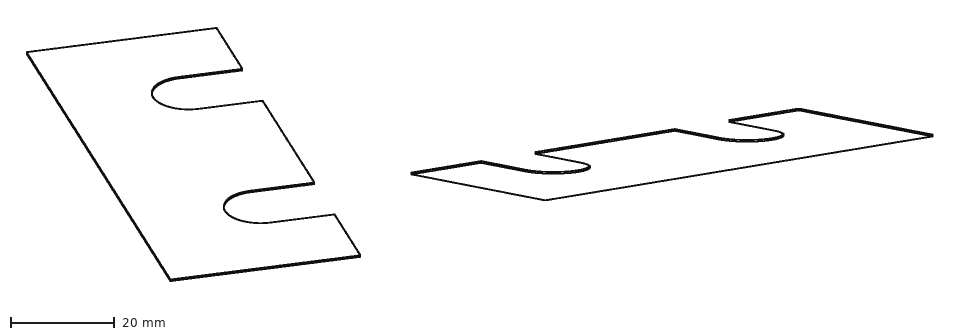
import cadquery as cq

length = 101.6
width = 38.1
thickness = 0.38

slot_width = 14.2
slot_depth = 19.9
slot_spacing = length / 2

slot_radius = slot_width / 2
back_edge = width / 2
arc_center_y = back_edge - slot_depth + slot_radius


def slot_cutter(center_x):
    """Solid filling one slot: straight sides with a half-round inner end."""
    return (
        cq.Workplane("XY")
        .moveTo(center_x - slot_radius, back_edge)
        .lineTo(center_x - slot_radius, arc_center_y)
        .threePointArc(
            (center_x, arc_center_y - slot_radius),
            (center_x + slot_radius, arc_center_y),
        )
        .lineTo(center_x + slot_radius, back_edge)
        .close()
        .extrude(thickness)
    )


result = cq.Workplane("XY").box(length, width, thickness, centered=(True, True, False))
for side in (-1, 1):
    result = result.cut(slot_cutter(side * slot_spacing / 2))